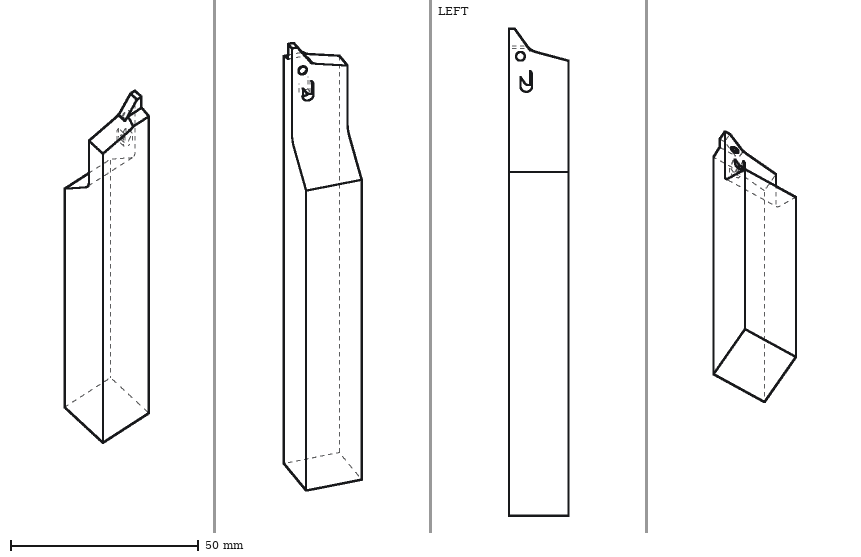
import cadquery as cq
import math

width = 16.0
height = 130.0
shoulder_z = 91.8
blade_x = 10.1
shoulder_radius = 5.1

back_z = 121.4
end_slope = math.radians(15)
neck_radius = 4.2
ridge_x = 13.6
ridge_z = 125.3
support_edge_z = 124.7

insert_thickness = 2.7
tip_width = 1.5
insert_width = 5.7
insert_flank_height = 8.6
insert_tail_y = 4.5
insert_tail_corner_z = 114.9

screw_radius = 1.2
screw_recess_depth = 0.3
screw_y = 3.1
screw_z = 122.6
slot_radius = 1.5
slot_y = 4.7
slot_bottom_z = 114.7
slot_top_z = 117.5

neck_z = back_z + (width - insert_width) * math.tan(end_slope)
flank_slope = (height - neck_z) / (insert_width - tip_width)
insert_back_x = blade_x + insert_thickness


def blade_plane(x):
    """YZ plane at x: local x is the distance from the +Y side, local y is Z, normal is -X."""
    return cq.Plane(origin=(x, width, 0), xDir=(0, -1, 0), normal=(-1, 0, 0))


def make_body():
    """Shank and blade, shaped in XZ."""
    bar = (
        cq.Workplane("XZ", origin=(0, width, 0))
        .polyline([
            (0, 0),
            (width, 0),
            (width, support_edge_z),
            (ridge_x, ridge_z),
            (blade_x, ridge_z),
            (blade_x, shoulder_z + blade_x),
            (0, shoulder_z),
        ])
        .close()
        .extrude(width)
    )
    shoulder_corner = cq.selectors.NearestToPointSelector((blade_x, width / 2, shoulder_z + blade_x))
    return bar.edges(shoulder_corner).fillet(shoulder_radius)


def make_end_profile():
    """Envelope of the support flank and end slope, joined by a concave blend."""
    envelope = (
        cq.Workplane(blade_plane(width))
        .polyline([
            (0, 0),
            (width, 0),
            (width, back_z),
            (insert_width, neck_z),
            (tip_width, height),
            (0, height),
        ])
        .close()
        .extrude(width)
    )
    neck = cq.selectors.NearestToPointSelector((width / 2, width - insert_width, neck_z))
    return envelope.edges(neck).fillet(neck_radius)


def make_slot():
    """Relief slot running under the tail of the insert."""
    slot_length = slot_top_z - slot_bottom_z + 2 * slot_radius
    return (
        cq.Workplane(blade_plane(insert_back_x))
        .center(slot_y, (slot_top_z + slot_bottom_z) / 2)
        .slot2D(slot_length, 2 * slot_radius, 90)
        .extrude(insert_thickness)
    )


def make_insert():
    """Pointed insert with parallel slanted flanks."""
    lower_flank_z = height - insert_flank_height
    return (
        cq.Workplane(blade_plane(insert_back_x))
        .polyline([
            (0, height),
            (tip_width, height),
            (insert_width, neck_z),
            (insert_width, insert_tail_corner_z),
            (insert_tail_y, lower_flank_z - flank_slope * insert_tail_y),
            (0, lower_flank_z),
        ])
        .close()
        .extrude(insert_thickness)
    )


def make_insert_clearance():
    """Part of the neck blend above the insert, left open over the full insert width."""
    return (
        cq.Workplane(blade_plane(insert_back_x))
        .polyline([(0, neck_z), (insert_width, neck_z), (insert_width, height), (0, height)])
        .close()
        .extrude(insert_thickness)
    )


def make_screw_recess():
    """Shallow round recess at the insert screw."""
    return (
        cq.Workplane(blade_plane(blade_x + screw_recess_depth))
        .center(screw_y, screw_z)
        .circle(screw_radius)
        .extrude(screw_recess_depth)
    )


body = make_body().intersect(make_end_profile())
body = body.cut(make_slot()).cut(make_insert_clearance()).union(make_insert())
result = body.cut(make_screw_recess())